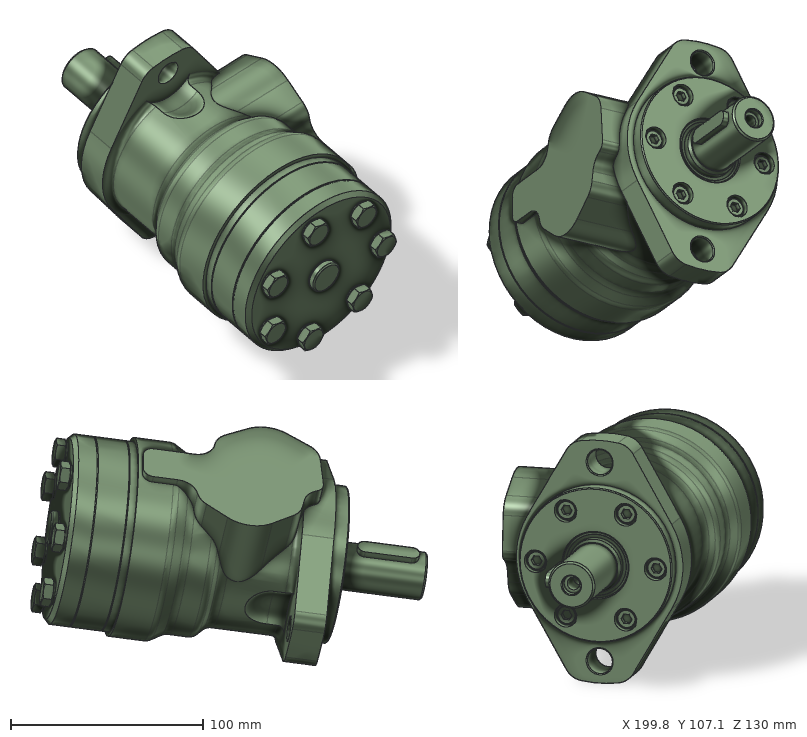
import cadquery as cq
import math


SHAFT_DIA = 25.0
SHAFT_CHAMFER = 1.0
COLLAR_START_X = 43.0
COLLAR_CONE_LENGTH = 1.5
COLLAR_CONE_DIA = 26.0
COLLAR_DIA = 28.5
TAP_HOLE_DIA = 6.5
TAP_HOLE_DEPTH = 16.0
TAP_TIP_HALF_ANGLE = 60.0
TAP_RECESS_DIA = 10.0
TAP_RECESS_DEPTH = 4.0
TAP_RECESS_CHAMFER = 0.5

KEY_START_X = 4.8
KEY_LENGTH = 32.8
KEY_WIDTH = 8.0
KEY_HEIGHT = 7.0
KEY_SEAT_Y = 8.5

PILOT_FACE_X = 46.4
PILOT_DIA = 82.5
PILOT_CHAMFER = 0.5
FLANGE_FRONT_X = 54.3
FLANGE_THICKNESS = 16.8
FLANGE_BACK_X = FLANGE_FRONT_X + FLANGE_THICKNESS
FLANGE_WAIST_RADIUS = 45.0
FLANGE_TIP_RADIUS = 65.0
FLANGE_CORNER_RADIUS = 11.2
FLANGE_FLANK_ANGLE = 30.0
FLANGE_HOLE_DIA = 13.4
FLANGE_HOLE_CHAMFER = 0.5
FLANGE_HOLE_OFFSET = 53.1

NECK_RADIUS = 40.8
NECK_FILLET = 4.0
NECK_END_X = 106.7
HUMP_RADIUS = 47.2
HUMP_END_X = 128.7
REAR_RADIUS = 52.1
HOUSING_END_X = 159.8

NOTCH_RADIUS = 18.4
NOTCH_STRAIGHT_END_X = 80.7

SHAFT_BORE_END_X = FLANGE_BACK_X
SEAL_RECESS_DIA = 35.0
SEAL_RECESS_CHAMFER = 0.5
SEAL_RECESS_DEPTH = 1.0
SEAL_STEP_DIA = 32.5
SEAL_STEP_DEPTH = 1.5
SEAL_GAP_DIA = 29.0
SEAL_GAP_DEPTH = 4.0

COVER_SCREW_COUNT = 6
COVER_SCREW_CIRCLE_RADIUS = 32.4
SCREW_POCKET_DIA = 12.0
SCREW_POCKET_DEPTH = 4.0
SCREW_HEAD_DIA = 10.0
SCREW_HEAD_RECESS = 1.8
SCREW_HEAD_CHAMFER = 0.4
SCREW_SOCKET_FLATS = 5.0
SCREW_SOCKET_DEPTH = 3.0

PORT_FACE_Y = 55.0
PORT_LOBE_RADIUS = 20.2
PORT_LUG_RADIUS = 12.0
PORT_LUG_SPACING = 16.0
UPPER_LOBE_CENTRE = (92.3, 18.0)
LOWER_LOBE_CENTRE = (101.5, -18.0)
LOWER_LUG_TILT = 5.0
PORT_END_X = 157.8
PORT_END_HALF_HEIGHT = 10.5
PORT_CORNER_RADIUS = 5.4
PORT_FRONT_CORNER_CENTRE = (68.1, -0.2)
PORT_REAR_BLEND_RADIUS = 10.8
PORT_FRONT_BLEND_RADIUS = 11.8
PORT_FRONT_FLANK_ANGLE = 190.6

STACK_RADIUS = 50.0
PLATE_END_X = 163.8
RING_END_X = 181.2
RING_CHAMFER = 0.5
CAP_END_X = 193.5
CAP_CHAMFER = 2.4

BOLT_COUNT = 7
BOLT_CIRCLE_RADIUS = 39.4
FIRST_BOLT_ANGLE = -2.7
BOLT_COLLAR_DIA = 12.0
BOLT_COLLAR_HEIGHT = 1.0
BOLT_FLATS = 13.0
BOLT_FACE_DIA = 12.5
BOLT_HEAD_CHAMFER_LENGTH = 0.5
BOLT_END_X = 199.8
BOLT_CORNER_ANGLE = 45.0

PLUG_DIA = 18.0
PLUG_NECK_DIA = 17.2
PLUG_NECK_HEIGHT = 0.8
PLUG_END_X = 198.0
PLUG_CHAMFER = 0.8


TOUCH_TOLERANCE = 0.002


def polar(centre, radius, angle):
    """Point on a circle; the angle is in degrees from the first axis."""
    turn = math.radians(angle)
    return (centre[0] + radius * math.cos(turn), centre[1] + radius * math.sin(turn))


def arc_along(sketch, centre, radius, start_angle, end_angle):
    """Draw an arc from the pen position, which is already at the start of the arc."""
    middle_angle = (start_angle + end_angle) / 2
    return sketch.threePointArc(polar(centre, radius, middle_angle), polar(centre, radius, end_angle))


def arc_outline(sketch, arcs):
    """Closed outline of (centre, radius, start angle, end angle) arcs; lines bridge any gaps."""
    first_point = polar(*arcs[0][:3])
    sketch = sketch.moveTo(*first_point)
    pen = first_point
    for centre, radius, start_angle, end_angle in arcs:
        start_point = polar(centre, radius, start_angle)
        if math.dist(pen, start_point) > TOUCH_TOLERANCE:
            sketch = sketch.lineTo(*start_point)
        sketch = arc_along(sketch, centre, radius, start_angle, end_angle)
        pen = polar(centre, radius, end_angle)
    return sketch.close()


def plane_at(x):
    """Workplane facing +X whose local axes are global Y and Z."""
    return cq.Workplane("YZ", origin=(x, 0, 0))


def cylinder(start_x, end_x, diameter, y=0.0, z=0.0):
    return plane_at(start_x).center(y, z).circle(diameter / 2).extrude(end_x - start_x)


def hexagon(start_x, end_x, flats, y, z, corner_angle):
    across_corners = flats / math.cos(math.radians(30))
    prism = plane_at(start_x).polygon(6, across_corners).extrude(end_x - start_x)
    return prism.rotate((0, 0, 0), (1, 0, 0), corner_angle).translate((0, y, z))


def revolve_about_x(profile):
    return profile.close().revolve(360, (0, 0, 0), (1, 0, 0))


def make_key():
    """Round-ended parallel key."""
    centre_x = KEY_START_X + KEY_LENGTH / 2
    outline = cq.Workplane("XZ", origin=(centre_x, KEY_SEAT_Y, 0)).slot2D(KEY_LENGTH, KEY_WIDTH)
    return outline.extrude(-KEY_HEIGHT)


def make_tap_hole():
    """Chamfered recess and a drilled hole with a conical bottom, in the free end of the shaft."""
    recess_radius = TAP_RECESS_DIA / 2
    hole_radius = TAP_HOLE_DIA / 2
    tip_length = hole_radius / math.tan(math.radians(TAP_TIP_HALF_ANGLE))
    profile = (
        cq.Workplane("XY")
        .lineTo(0, recess_radius + TAP_RECESS_CHAMFER)
        .lineTo(TAP_RECESS_CHAMFER, recess_radius)
        .lineTo(TAP_RECESS_DEPTH, recess_radius)
        .lineTo(TAP_RECESS_DEPTH, hole_radius)
        .lineTo(TAP_HOLE_DEPTH, hole_radius)
        .lineTo(TAP_HOLE_DEPTH + tip_length, 0)
    )
    return revolve_about_x(profile)


def make_shaft(key):
    shaft_radius = SHAFT_DIA / 2
    profile = (
        cq.Workplane("XY")
        .lineTo(0, shaft_radius - SHAFT_CHAMFER)
        .lineTo(SHAFT_CHAMFER, shaft_radius)
        .lineTo(COLLAR_START_X, shaft_radius)
        .lineTo(COLLAR_START_X, COLLAR_CONE_DIA / 2)
        .lineTo(COLLAR_START_X + COLLAR_CONE_LENGTH, COLLAR_DIA / 2)
        .lineTo(SHAFT_BORE_END_X, COLLAR_DIA / 2)
        .lineTo(SHAFT_BORE_END_X, 0)
    )
    return revolve_about_x(profile).cut(make_tap_hole()).cut(key)


def ramp_to(profile, start_x, start_radius, end_radius, slope, foot_fillet, crest_fillet):
    """Conical rise with a concave fillet at its foot and a convex one at its crest."""
    rise = end_radius - start_radius
    turn = math.radians(slope)
    cone_rise = rise - (foot_fillet + crest_fillet) * (1 - math.cos(turn))
    run = (foot_fillet + crest_fillet) * math.sin(turn) + cone_rise / math.tan(turn)
    foot_centre = (start_x, start_radius + foot_fillet)
    crest_centre = (start_x + run, end_radius - crest_fillet)
    profile = profile.lineTo(start_x, start_radius)
    profile = arc_along(profile, foot_centre, foot_fillet, -90, -90 + slope)
    profile = profile.lineTo(*polar(crest_centre, crest_fillet, 90 + slope))
    return arc_along(profile, crest_centre, crest_fillet, 90 + slope, 90)


def make_barrel():
    """Turned casting from the back of the flange to the rear face."""
    fillet_centre = (FLANGE_BACK_X + NECK_FILLET, NECK_RADIUS + NECK_FILLET)
    profile = cq.Workplane("XY").moveTo(FLANGE_FRONT_X, 0)
    profile = profile.lineTo(FLANGE_FRONT_X, NECK_RADIUS + NECK_FILLET)
    profile = profile.lineTo(FLANGE_BACK_X, NECK_RADIUS + NECK_FILLET)
    profile = arc_along(profile, fillet_centre, NECK_FILLET, 180, 270)
    profile = ramp_to(profile, NECK_END_X, NECK_RADIUS, HUMP_RADIUS, 45, 7.4, 5.5)
    profile = ramp_to(profile, HUMP_END_X, HUMP_RADIUS, REAR_RADIUS, 30, 8.4, 6.4)
    profile = profile.lineTo(HOUSING_END_X, REAR_RADIUS).lineTo(HOUSING_END_X, 0)
    return revolve_about_x(profile)


def make_flange():
    """Two-bolt flange: round waist, straight flanks and rounded tips at +Z and -Z."""
    centre_radius = FLANGE_TIP_RADIUS - FLANGE_CORNER_RADIUS
    reach = (FLANGE_WAIST_RADIUS - FLANGE_CORNER_RADIUS) / centre_radius
    corner_angle = FLANGE_FLANK_ANGLE + math.degrees(math.acos(reach))
    axis = (0, 0)
    arcs = []
    for turn in (0, 180):
        flank = turn + FLANGE_FLANK_ANGLE
        far_flank = turn + 180 - FLANGE_FLANK_ANGLE
        tip_start = turn + corner_angle
        tip_end = turn + 180 - corner_angle
        arcs += [
            (axis, FLANGE_WAIST_RADIUS, turn - FLANGE_FLANK_ANGLE, flank),
            (polar(axis, centre_radius, tip_start), FLANGE_CORNER_RADIUS, flank, tip_start),
            (axis, FLANGE_TIP_RADIUS, tip_start, tip_end),
            (polar(axis, centre_radius, tip_end), FLANGE_CORNER_RADIUS, tip_end, far_flank),
        ]
    return arc_outline(plane_at(FLANGE_FRONT_X), arcs).extrude(FLANGE_THICKNESS)


def make_pilot():
    pilot = cylinder(PILOT_FACE_X, FLANGE_FRONT_X, PILOT_DIA)
    return pilot.faces("<X").chamfer(PILOT_CHAMFER)


def rear_blend(lug_centre, side):
    """Centre of the concave blend beside a rear lug, and its direction from the lug.

    The blend touches the lug and the straight edge on the same side (+1 upper, -1 lower).
    """
    reach = PORT_LUG_RADIUS + PORT_REAR_BLEND_RADIUS
    centre_z = side * (PORT_END_HALF_HEIGHT + PORT_REAR_BLEND_RADIUS)
    angle = math.degrees(math.asin((centre_z - lug_centre[1]) / reach))
    return polar(lug_centre, reach, angle), angle


def front_blend(lug_centre):
    """Centre of the concave blend between the lower front flank and the front corner."""
    reach = PORT_FRONT_BLEND_RADIUS + PORT_CORNER_RADIUS
    offset = PORT_LUG_RADIUS + PORT_FRONT_BLEND_RADIUS
    turn = math.radians(PORT_FRONT_FLANK_ANGLE)
    gap_x = PORT_FRONT_CORNER_CENTRE[0] - lug_centre[0]
    gap_z = PORT_FRONT_CORNER_CENTRE[1] - lug_centre[1]
    across = gap_x * math.cos(turn) + gap_z * math.sin(turn) - offset
    along = gap_x * math.sin(turn) - gap_z * math.cos(turn)
    flank_length = along - math.sqrt(reach**2 - across**2)
    centre = polar(lug_centre, offset, PORT_FRONT_FLANK_ANGLE)
    centre = polar(centre, flank_length, PORT_FRONT_FLANK_ANGLE - 90)
    angle = math.atan2(PORT_FRONT_CORNER_CENTRE[1] - centre[1], PORT_FRONT_CORNER_CENTRE[0] - centre[0])
    return centre, math.degrees(angle)


def front_flank_angle(lug_centre):
    """Normal direction of the straight edge that touches the front corner and the upper lug."""
    gap_x = PORT_FRONT_CORNER_CENTRE[0] - lug_centre[0]
    gap_z = PORT_FRONT_CORNER_CENTRE[1] - lug_centre[1]
    towards_corner = math.degrees(math.atan2(gap_z, gap_x)) % 360
    ratio = (PORT_LUG_RADIUS - PORT_CORNER_RADIUS) / math.hypot(gap_x, gap_z)
    return towards_corner - math.degrees(math.acos(ratio))


def make_port_block():
    """Lobed block that carries the flat port face on the +Y side."""
    shoulder = math.degrees(math.acos((PORT_LOBE_RADIUS - PORT_LUG_RADIUS) / PORT_LUG_SPACING))
    upper_rear_lug = polar(UPPER_LOBE_CENTRE, PORT_LUG_SPACING, 0)
    upper_front_lug = polar(UPPER_LOBE_CENTRE, PORT_LUG_SPACING, 180)
    lower_rear_lug = polar(LOWER_LOBE_CENTRE, PORT_LUG_SPACING, LOWER_LUG_TILT)
    lower_front_lug = polar(LOWER_LOBE_CENTRE, PORT_LUG_SPACING, 180 - LOWER_LUG_TILT)
    upper_blend, upper_angle = rear_blend(upper_rear_lug, 1)
    lower_blend, lower_angle = rear_blend(lower_rear_lug, -1)
    front_centre, front_angle = front_blend(lower_front_lug)
    flank = front_flank_angle(upper_front_lug)
    corner_x = PORT_END_X - PORT_CORNER_RADIUS
    corner_z = PORT_END_HALF_HEIGHT - PORT_CORNER_RADIUS
    lower_shoulder = shoulder - LOWER_LUG_TILT

    arcs = [
        (upper_front_lug, PORT_LUG_RADIUS, flank, 180 - shoulder),
        (UPPER_LOBE_CENTRE, PORT_LOBE_RADIUS, 180 - shoulder, shoulder),
        (upper_rear_lug, PORT_LUG_RADIUS, shoulder, upper_angle),
        (upper_blend, PORT_REAR_BLEND_RADIUS, 180 + upper_angle, 270),
        ((corner_x, corner_z), PORT_CORNER_RADIUS, 90, 0),
        ((corner_x, -corner_z), PORT_CORNER_RADIUS, 0, -90),
        (lower_blend, PORT_REAR_BLEND_RADIUS, 90, 180 + lower_angle),
        (lower_rear_lug, PORT_LUG_RADIUS, lower_angle, -lower_shoulder),
        (LOWER_LOBE_CENTRE, PORT_LOBE_RADIUS, -lower_shoulder, lower_shoulder - 180),
        (lower_front_lug, PORT_LUG_RADIUS, 180 + lower_shoulder, PORT_FRONT_FLANK_ANGLE),
        (front_centre, PORT_FRONT_BLEND_RADIUS, PORT_FRONT_FLANK_ANGLE - 180, front_angle),
        (PORT_FRONT_CORNER_CENTRE, PORT_CORNER_RADIUS, 180 + front_angle, flank),
    ]
    return arc_outline(cq.Workplane("XZ"), arcs).extrude(-PORT_FACE_Y)


def make_wrench_notch(z):
    """Round-ended clearance behind a flange hole."""
    straight = cylinder(FLANGE_BACK_X, NOTCH_STRAIGHT_END_X, 2 * NOTCH_RADIUS, z=z)
    end_half = cylinder(NOTCH_STRAIGHT_END_X, NECK_END_X, 2 * NOTCH_RADIUS, z=z)
    ball = cq.Workplane("XY").sphere(NOTCH_RADIUS).translate((NOTCH_STRAIGHT_END_X, 0, z))
    return straight.union(ball.intersect(end_half))


def make_flange_hole(z):
    """Through hole with a chamfered mouth."""
    hole = cylinder(FLANGE_FRONT_X, FLANGE_BACK_X, FLANGE_HOLE_DIA, z=z)
    mouth_radius = FLANGE_HOLE_DIA / 2 + FLANGE_HOLE_CHAMFER
    mouth = plane_at(FLANGE_FRONT_X).center(0, z).circle(mouth_radius)
    return hole.union(mouth.extrude(FLANGE_HOLE_CHAMFER, taper=45))


def make_shaft_bore():
    """Bore for the shaft collar, with the gap and the stepped, chamfered seal recess at its mouth."""
    recess_radius = SEAL_RECESS_DIA / 2
    recess_end_x = PILOT_FACE_X + SEAL_RECESS_DEPTH
    step_end_x = PILOT_FACE_X + SEAL_STEP_DEPTH
    gap_end_x = PILOT_FACE_X + SEAL_GAP_DEPTH
    profile = (
        cq.Workplane("XY")
        .moveTo(PILOT_FACE_X, 0)
        .lineTo(PILOT_FACE_X, recess_radius + SEAL_RECESS_CHAMFER)
        .lineTo(PILOT_FACE_X + SEAL_RECESS_CHAMFER, recess_radius)
        .lineTo(recess_end_x, recess_radius)
        .lineTo(recess_end_x, SEAL_STEP_DIA / 2)
        .lineTo(step_end_x, SEAL_STEP_DIA / 2)
        .lineTo(step_end_x, SEAL_GAP_DIA / 2)
        .lineTo(gap_end_x, SEAL_GAP_DIA / 2)
        .lineTo(gap_end_x, COLLAR_DIA / 2)
        .lineTo(SHAFT_BORE_END_X, COLLAR_DIA / 2)
        .lineTo(SHAFT_BORE_END_X, 0)
    )
    return revolve_about_x(profile)


def make_screw_pocket(y, z):
    """Material removed around and inside one sunk socket-head screw of the front cover."""
    floor_x = PILOT_FACE_X + SCREW_POCKET_DEPTH
    head_x = PILOT_FACE_X + SCREW_HEAD_RECESS
    pocket = cylinder(PILOT_FACE_X, floor_x, SCREW_POCKET_DIA, y, z)
    head = cylinder(head_x, floor_x, SCREW_HEAD_DIA, y, z).faces("<X").chamfer(SCREW_HEAD_CHAMFER)
    socket = hexagon(head_x, head_x + SCREW_SOCKET_DEPTH, SCREW_SOCKET_FLATS, y, z, 0)
    return pocket.cut(head).union(socket)


def make_housing():
    housing = make_barrel().union(make_port_block())
    for z in (FLANGE_HOLE_OFFSET, -FLANGE_HOLE_OFFSET):
        housing = housing.cut(make_wrench_notch(z))
    housing = housing.union(make_flange()).union(make_pilot())
    for z in (FLANGE_HOLE_OFFSET, -FLANGE_HOLE_OFFSET):
        housing = housing.cut(make_flange_hole(z))
    housing = housing.cut(make_shaft_bore())
    for index in range(COVER_SCREW_COUNT):
        y, z = polar((0, 0), COVER_SCREW_CIRCLE_RADIUS, index * 360 / COVER_SCREW_COUNT)
        housing = housing.cut(make_screw_pocket(y, z))
    return housing


def make_plate():
    return cylinder(HOUSING_END_X, PLATE_END_X, 2 * STACK_RADIUS)


def make_gear_ring():
    return cylinder(PLATE_END_X, RING_END_X, 2 * STACK_RADIUS).faces("<X or >X").chamfer(RING_CHAMFER)


def make_bolt_head(y, z):
    """Hexagon head, chamfered at both ends, on a short round collar."""
    head_x = CAP_END_X + BOLT_COLLAR_HEIGHT
    corner_radius = BOLT_FLATS / 2 / math.cos(math.radians(30))
    collar = cylinder(CAP_END_X, head_x, BOLT_COLLAR_DIA, y, z)
    hexagon_head = hexagon(head_x, BOLT_END_X, BOLT_FLATS, y, z, BOLT_CORNER_ANGLE)
    envelope = (
        cq.Workplane("XY")
        .moveTo(head_x, 0)
        .lineTo(head_x, BOLT_FACE_DIA / 2)
        .lineTo(head_x + BOLT_HEAD_CHAMFER_LENGTH, corner_radius)
        .lineTo(BOLT_END_X - BOLT_HEAD_CHAMFER_LENGTH, corner_radius)
        .lineTo(BOLT_END_X, BOLT_FACE_DIA / 2)
        .lineTo(BOLT_END_X, 0)
    )
    envelope = revolve_about_x(envelope).translate((0, y, z))
    return collar.union(hexagon_head.intersect(envelope))


def make_plug():
    head_x = CAP_END_X + PLUG_NECK_HEIGHT
    neck = cylinder(CAP_END_X, head_x, PLUG_NECK_DIA)
    head = cylinder(head_x, PLUG_END_X, PLUG_DIA).faces(">X").chamfer(PLUG_CHAMFER)
    return neck.union(head)


def make_end_cap():
    cap = cylinder(RING_END_X, CAP_END_X, 2 * STACK_RADIUS).faces(">X").chamfer(CAP_CHAMFER)
    cap = cap.union(make_plug())
    for index in range(BOLT_COUNT):
        angle = FIRST_BOLT_ANGLE + index * 360 / BOLT_COUNT
        y, z = polar((0, 0), BOLT_CIRCLE_RADIUS, angle)
        cap = cap.union(make_bolt_head(y, z))
    return cap


key = make_key()
shaft = make_shaft(key)
housing = make_housing()
plate = make_plate()
gear_ring = make_gear_ring()
end_cap = make_end_cap()

result = cq.Compound.makeCompound(
    [housing.val(), shaft.val(), key.val(), plate.val(), gear_ring.val(), end_cap.val()]
)